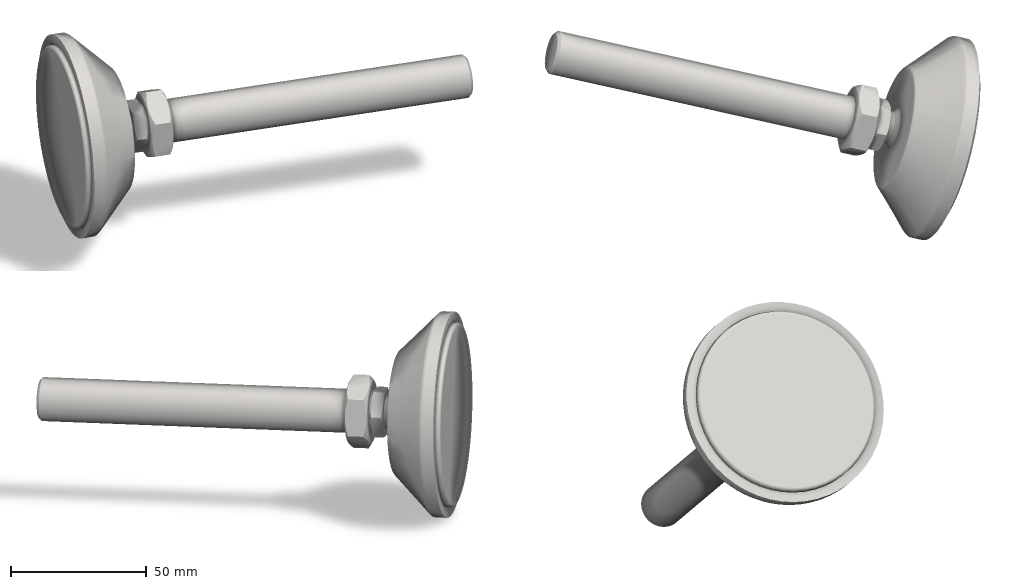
import cadquery as cq
import math

TOTAL_LENGTH = 155.9

RIM_RADIUS = 38.0
RIM_BOTTOM = 2.0
HOUSING_TOP = 22.0
HOUSING_TOP_RADIUS = 22.9
CONE_BOTTOM = HOUSING_TOP - (RIM_RADIUS - HOUSING_TOP_RADIUS)
HOUSING_FILLET = 1.5

PAD_RADIUS = 34.1
PAD_CLEARANCE = 0.3
PAD_TOP = 6.2
PAD_FILLET = 1.1

SOCKET_BOTTOM = 15.6
NECK_RADIUS = 6.0
NECK_BOTTOM = 23.5
COLLAR_RADIUS = NECK_RADIUS + NECK_BOTTOM - HOUSING_TOP
STUD_HEX_BOTTOM = 26.2
STUD_HEX_TOP = 30.7
STUD_HEX_FLATS = 17.0
STUD_HEX_FACE_RADIUS = 8.9
SHANK_RADIUS = 8.1
SHANK_CHAMFER = 1.1

NUT_BOTTOM = 31.5
NUT_TOP = 39.9
NUT_FLATS = 24.0
NUT_FACE_RADIUS = 11.5

HEX_CHAMFER_ANGLE = 30.0


def cylinder(radius, bottom, top):
    """Cylinder along Y between two heights."""
    return cq.Workplane("XZ", origin=(0, bottom, 0)).circle(radius).extrude(bottom - top)


def revolve_about_y(points):
    """Turn a closed (radius, height) outline about the Y axis."""
    return cq.Workplane("XY").polyline(points).close().revolve(360, (0, 0, 0), (0, 1, 0))


def chamfered_hexagon(flats, bottom, top, face_radius, corner_angle):
    """Hexagonal prism along Y whose corners are turned down conically at both ends."""
    corner_radius = flats / math.sqrt(3)
    drop = (corner_radius - face_radius) * math.tan(math.radians(HEX_CHAMFER_ANGLE))
    prism = (
        cq.Workplane("XZ", origin=(0, bottom, 0))
        .transformed(rotate=(0, 0, corner_angle))
        .polygon(6, 2 * corner_radius)
        .extrude(bottom - top)
    )
    envelope = revolve_about_y([
        (0, bottom),
        (face_radius, bottom),
        (corner_radius, bottom + drop),
        (corner_radius, top - drop),
        (face_radius, top),
        (0, top),
    ])
    return prism.intersect(envelope)


def make_pad():
    pad = cylinder(PAD_RADIUS, 0, PAD_TOP)
    return pad.faces("<Y").edges().fillet(PAD_FILLET)


def make_housing():
    body = revolve_about_y([
        (0, RIM_BOTTOM),
        (RIM_RADIUS, RIM_BOTTOM),
        (RIM_RADIUS, CONE_BOTTOM),
        (HOUSING_TOP_RADIUS, HOUSING_TOP),
        (0, HOUSING_TOP),
    ])
    body = body.edges(cq.selectors.BoxSelector(
        (-RIM_RADIUS, PAD_TOP, -RIM_RADIUS),
        (RIM_RADIUS, TOTAL_LENGTH, RIM_RADIUS),
    )).fillet(HOUSING_FILLET)
    pad_recess = cylinder(PAD_RADIUS + PAD_CLEARANCE, RIM_BOTTOM, PAD_TOP)
    stud_socket = cylinder(COLLAR_RADIUS, SOCKET_BOTTOM, HOUSING_TOP)
    return body.cut(pad_recess).cut(stud_socket)


def make_stud():
    foot = revolve_about_y([
        (0, SOCKET_BOTTOM),
        (COLLAR_RADIUS, SOCKET_BOTTOM),
        (COLLAR_RADIUS, HOUSING_TOP),
        (NECK_RADIUS, NECK_BOTTOM),
        (NECK_RADIUS, STUD_HEX_BOTTOM),
        (0, STUD_HEX_BOTTOM),
    ])
    hexagon = chamfered_hexagon(
        STUD_HEX_FLATS, STUD_HEX_BOTTOM, STUD_HEX_TOP, STUD_HEX_FACE_RADIUS, corner_angle=0
    )
    shank = cylinder(SHANK_RADIUS, STUD_HEX_TOP, TOTAL_LENGTH)
    shank = shank.faces(">Y").chamfer(SHANK_CHAMFER)
    return foot.union(hexagon).union(shank)


def make_nut():
    nut = chamfered_hexagon(NUT_FLATS, NUT_BOTTOM, NUT_TOP, NUT_FACE_RADIUS, corner_angle=30)
    return nut.cut(cylinder(SHANK_RADIUS, NUT_BOTTOM, NUT_TOP))


pad = make_pad()
housing = make_housing()
stud = make_stud()
nut = make_nut()

result = cq.Compound.makeCompound([pad.val(), housing.val(), stud.val(), nut.val()])